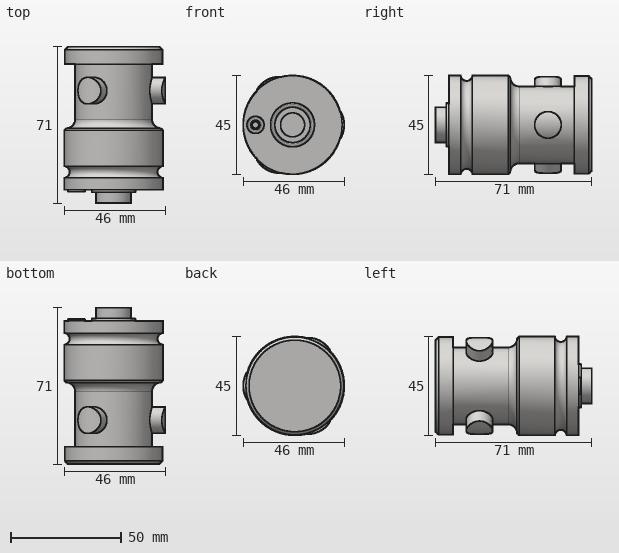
import cadquery as cq

body_radius = 22.5
body_length = 65.0
groove_start = 5.5
groove_width = 5.25
groove_depth = 2.5
shoulder_end = 28.0
edge_chamfer = 1.0
shaft_radius = 17.55
flange_radius = 22.2
flange_start = 57.0
flange_chamfer = 1.4

stub_length = 6.0
stub_radius = 8.0
bore_radius = 5.5
bore_depth = 5.0
collar_radius = 10.0
collar_height = 1.2
ring_offset = 16.8
ring_radius = 3.9
ring_height = 1.0
ring_inner_radius = 2.05
ring_hole_radius = 1.5
ring_hole_depth = 4.0

pin_count = 3
pin_radius = 6.0
pin_station = 45.0
pin_reach = 23.5
pin_crown_radius = 12.0


def cylinder_y(radius, start, end):
    """Cylinder about the Y axis between two Y stations."""
    return cq.Workplane("XZ", origin=(0, start, 0)).circle(radius).extrude(start - end)


def make_body():
    """Turned body with a round groove, a filleted shoulder and a rear flange."""
    groove_end = groove_start + groove_width
    chamfer_radius = body_radius - edge_chamfer
    fillet_radius = chamfer_radius - shaft_radius
    fillet_centre = (chamfer_radius, shoulder_end + fillet_radius)
    diagonal = fillet_radius * 0.5 ** 0.5
    fillet_middle = (fillet_centre[0] - diagonal, fillet_centre[1] - diagonal)
    profile = (
        cq.Workplane("XY")
        .lineTo(body_radius, 0)
        .lineTo(body_radius, groove_start)
        .threePointArc(
            (body_radius - groove_depth, groove_start + groove_width / 2),
            (body_radius, groove_end),
        )
        .lineTo(body_radius, shoulder_end - edge_chamfer)
        .lineTo(chamfer_radius, shoulder_end)
        .threePointArc(fillet_middle, (shaft_radius, fillet_centre[1]))
        .lineTo(shaft_radius, flange_start)
        .lineTo(flange_radius, flange_start)
        .lineTo(flange_radius, body_length - flange_chamfer)
        .lineTo(flange_radius - flange_chamfer, body_length)
        .lineTo(0, body_length)
        .close()
    )
    return profile.revolve(360, (0, 0, 0), (0, 1, 0))


def make_pin(angle):
    """Radial pin with an end crowned about a line parallel to Y."""
    pin = (
        cq.Workplane("YZ")
        .center(pin_station, 0)
        .circle(pin_radius)
        .extrude(pin_reach)
    )
    crown_centre = pin_reach - pin_crown_radius
    crown = cylinder_y(pin_crown_radius, 0, body_length).translate((crown_centre, 0, 0))
    return pin.intersect(crown).rotate((0, 0, 0), (0, 1, 0), angle)


def make_rounded_ring(outer_radius, inner_radius, height):
    """Ring on the front face with a half-round outer side and a rounded inner front edge."""
    round_radius = height / 2
    diagonal = round_radius * 0.5 ** 0.5
    inner_round_centre = inner_radius + round_radius
    outer_round_centre = outer_radius - round_radius
    profile = (
        cq.Workplane("XY")
        .moveTo(inner_radius, 0)
        .lineTo(outer_round_centre, 0)
        .threePointArc((outer_radius, -round_radius), (outer_round_centre, -height))
        .lineTo(inner_round_centre, -height)
        .threePointArc(
            (inner_round_centre - diagonal, -round_radius - diagonal),
            (inner_radius, -round_radius),
        )
        .close()
    )
    return profile.revolve(360, (0, 0, 0), (0, 1, 0))


result = make_body()
for index in range(pin_count):
    result = result.union(make_pin(index * 360 / pin_count))

stub = cylinder_y(stub_radius, 0, -stub_length)
bore = cylinder_y(bore_radius, -stub_length, bore_depth - stub_length)
result = result.union(stub.cut(bore))
result = result.union(make_rounded_ring(collar_radius, stub_radius, collar_height))

small_ring = make_rounded_ring(ring_radius, ring_inner_radius, ring_height)
result = result.union(small_ring.translate((-ring_offset, 0, 0)))
ring_hole = cylinder_y(ring_hole_radius, 0, ring_hole_depth)
result = result.cut(ring_hole.translate((-ring_offset, 0, 0)))